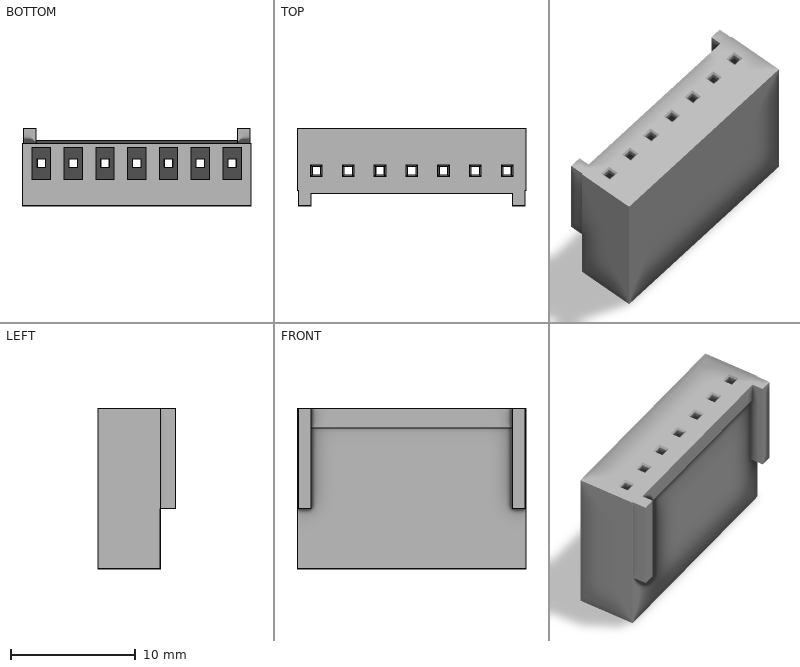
import cadquery as cq

length = 18.3
height = 12.85
overall_depth = 6.2
rib_projection = 1.2
body_depth = overall_depth - rib_projection

band_height = 1.57
band_projection = 0.24

rib_width = 1.02
rib_height = 8.03
rib_inset = 0.07

hole_count = 7
hole_pitch = 2.55
hole_size = 0.65
entry_size = 0.93
entry_depth = 0.15
hole_from_back = 3.4
throat_bottom_depth = 0.55
chamber_length = 1.46
chamber_width = 2.56


def front_strip(x_left, width, projection, strip_height):
    """Strip hanging from the top edge and standing out from the front face."""
    return (
        cq.Workplane("XY")
        .box(width, projection, strip_height, centered=False)
        .translate((x_left, -body_depth - projection, height - strip_height))
    )


def terminal_hole(x):
    """Square through hole with a tapered entry above and a wider chamber below."""
    shaft = (
        cq.Workplane("XY")
        .center(x, -hole_from_back)
        .rect(hole_size, hole_size)
        .extrude(height)
    )
    entry = (
        cq.Workplane("XY", origin=(x, -hole_from_back, height))
        .rect(entry_size, entry_size)
        .workplane(offset=-entry_depth)
        .rect(hole_size, hole_size)
        .loft(ruled=True)
    )
    chamber = (
        cq.Workplane("XY")
        .center(x, -hole_from_back)
        .rect(chamber_length, chamber_width)
        .extrude(height - throat_bottom_depth)
    )
    return shaft.union(entry).union(chamber)


result = (
    cq.Workplane("XY")
    .box(length, body_depth, height, centered=(True, False, False))
    .translate((0, -body_depth, 0))
)

rib_outer_x = length / 2 - rib_inset
rib_inner_x = rib_outer_x - rib_width
result = result.union(front_strip(-rib_outer_x, rib_width, rib_projection, rib_height))
result = result.union(front_strip(rib_inner_x, rib_width, rib_projection, rib_height))
result = result.union(front_strip(-rib_inner_x, 2 * rib_inner_x, band_projection, band_height))

first_hole_x = -hole_pitch * (hole_count - 1) / 2
for index in range(hole_count):
    result = result.cut(terminal_hole(first_hole_x + index * hole_pitch))